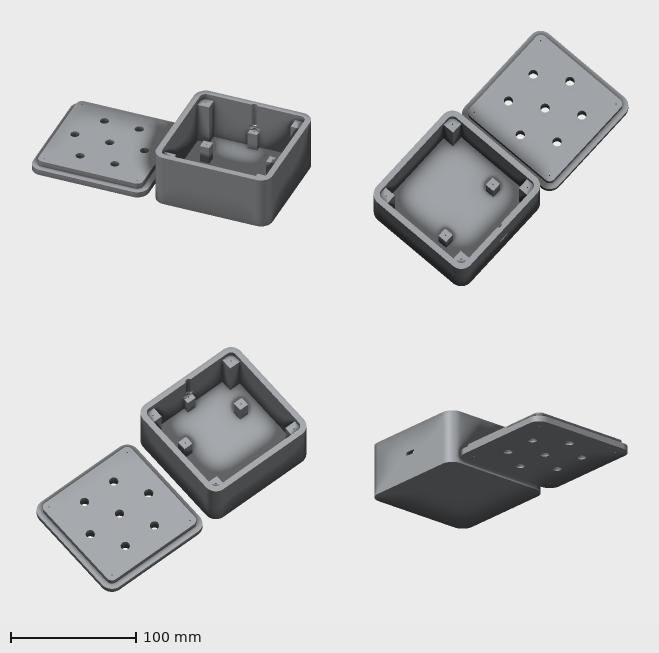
import cadquery as cq
import math

total_length = 206.7
side = 100.0
wall = 5.0
outer_radius = 10.0
inner_radius = outer_radius - wall
opening = side - 2 * wall
screw_diameter = 1.0

flange_thickness = 5.0
plug_height = 5.0
vent_diameter = 7.5
vent_circle_radius = 30.0
vent_count = 6

housing_height = 45.0
floor_thickness = 5.0
housing_x = total_length - side

corner_post_width = 10.0
corner_post_top = housing_height - plug_height
corner_offset = opening / 2 - corner_post_width / 2

standoff_width = 8.0
standoff_top = 20.0
pair_spacing = 57.0
pair_y = 13.2
wall_standoff_y = 44.5
relief_diameter = 5.0

screw_depth = 10.0

slot_height = 3.0
slot_length = 10.0
slot_z = 23.0

corner_points = [(x, y) for x in (-corner_offset, corner_offset) for y in (-corner_offset, corner_offset)]
pair_points = [(-pair_spacing / 2, pair_y), (pair_spacing / 2, pair_y)]
wall_point = [(0, wall_standoff_y)]


def rounded_square(width, radius, bottom, height):
    """Upright square block with rounded vertical edges."""
    block = cq.Workplane("XY").workplane(offset=bottom).rect(width, width).extrude(height)
    return block.edges("|Z").fillet(radius)


def round_bars(points, diameter, bottom, top):
    """Upright cylinders, one at each point."""
    plane = cq.Workplane("XY").workplane(offset=bottom)
    return plane.pushPoints(points).circle(diameter / 2).extrude(top - bottom)


def make_lid():
    flange = rounded_square(side, outer_radius, 0, flange_thickness)
    plug = rounded_square(opening, inner_radius, flange_thickness, plug_height)
    top = flange_thickness + plug_height
    vent_points = [(0, 0)]
    for index in range(vent_count):
        angle = 2 * math.pi * index / vent_count
        vent_points.append((vent_circle_radius * math.cos(angle), vent_circle_radius * math.sin(angle)))
    lid = flange.union(plug)
    lid = lid.cut(round_bars(vent_points, vent_diameter, 0, top))
    return lid.cut(round_bars(corner_points, screw_diameter, 0, top))


def make_posts(points, width, top):
    """Square posts reaching down to the underside of the floor, one at each point."""
    return cq.Workplane("XY").pushPoints(points).rect(width, width).extrude(top)


def cable_slot():
    """Round-ended horizontal slot that passes through the back wall."""
    outline = cq.Workplane("XZ", origin=(0, side / 2, slot_z)).slot2D(slot_length, slot_height)
    return outline.extrude(wall)


def make_housing():
    envelope = rounded_square(side, outer_radius, 0, housing_height)
    cavity = rounded_square(opening, inner_radius, floor_thickness, housing_height)
    housing = envelope.cut(cavity)
    supports = [
        (corner_points, corner_post_width, corner_post_top),
        (pair_points, standoff_width, standoff_top),
        (wall_point, standoff_width, standoff_top),
    ]
    housing = housing.cut(cable_slot())
    for points, width, top in supports:
        housing = housing.union(make_posts(points, width, top).intersect(envelope))
    for points, _, top in supports:
        housing = housing.cut(round_bars(points, screw_diameter, top - screw_depth, top))
    return housing.cut(round_bars(wall_point, relief_diameter, standoff_top, housing_height))


lid = make_lid()
housing = make_housing().translate((housing_x, 0, 0))

result = cq.Compound.makeCompound([lid.val(), housing.val()])